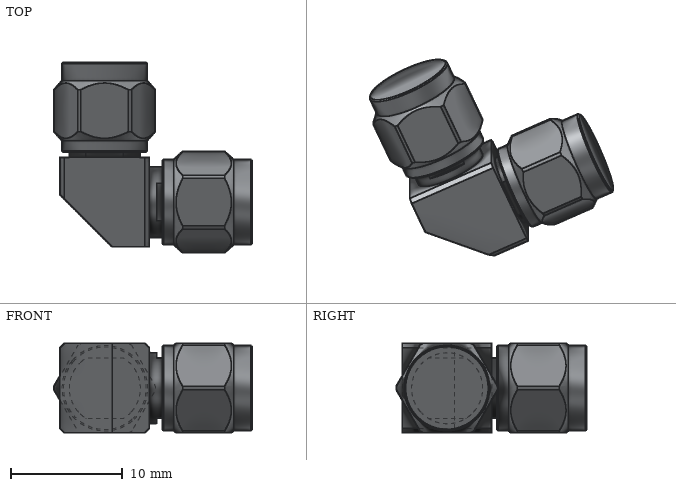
import cadquery as cq
import math


block_size = 8.0
block_half = block_size / 2
corner_cut = 4.67
edge_chamfer = 0.4

collar_diameter = 6.35
collar_standout = 0.68
wrench_flats = 5.4

nut_length = 8.03
nut_gap = 0.465
nut_across_flats = 8.0
nut_across_corners = 9.05
sleeve_diameter = 7.64
sleeve_chamfer = 0.13
back_sleeve_end = 1.04
hex_full_start = 1.82
hex_full_end = 5.58
front_sleeve_start = 6.39


def make_block():
    """Cube with one vertical corner cut off and two sides chamfered top and bottom."""
    block = cq.Workplane("XY").box(block_size, block_size, block_size)
    block = block.faces("<X or >X").edges("|Y").chamfer(edge_chamfer)
    corner = (
        cq.Workplane("XY")
        .moveTo(-block_half, -block_half)
        .lineTo(-block_half + corner_cut, -block_half)
        .lineTo(-block_half, -block_half + corner_cut)
        .close()
        .extrude(block_half, both=True)
    )
    return block.cut(corner)


def make_nut():
    """Hexagonal nut along +X with a round sleeve at each end, back face at X = 0."""
    sleeve_radius = sleeve_diameter / 2
    corner_radius = nut_across_corners / 2
    chamfered_radius = sleeve_radius - sleeve_chamfer
    envelope = (
        cq.Workplane("XY")
        .moveTo(0, 0)
        .lineTo(0, chamfered_radius)
        .lineTo(sleeve_chamfer, sleeve_radius)
        .lineTo(back_sleeve_end, sleeve_radius)
        .lineTo(hex_full_start, corner_radius)
        .lineTo(hex_full_end, corner_radius)
        .lineTo(front_sleeve_start, sleeve_radius)
        .lineTo(nut_length - sleeve_chamfer, sleeve_radius)
        .lineTo(nut_length, chamfered_radius)
        .lineTo(nut_length, 0)
        .close()
        .revolve(360, (0, 0, 0), (1, 0, 0))
    )
    sharp_corners = nut_across_flats / math.cos(math.pi / 6)
    hexagon = cq.Workplane("YZ").polygon(6, sharp_corners).extrude(nut_length)
    return envelope.intersect(hexagon)


def make_connector(collar_end):
    """Collar, flatted neck and nut along +X; the collar ends at X = collar_end."""
    nut_back = collar_end + nut_gap
    collar = cq.Workplane("YZ").circle(collar_diameter / 2).extrude(collar_end)
    neck = cq.Workplane("YZ").circle(collar_diameter / 2).extrude(nut_back)
    flats = cq.Workplane("YZ").rect(collar_diameter, wrench_flats).extrude(nut_back)
    nut = make_nut().translate((nut_back, 0, 0))
    return collar.union(neck.intersect(flats)).union(nut)


x_connector = make_connector(block_half + collar_standout)
y_connector = make_connector(block_half).rotate((0, 0, 0), (0, 0, 1), 90)

result = make_block().union(x_connector).union(y_connector)